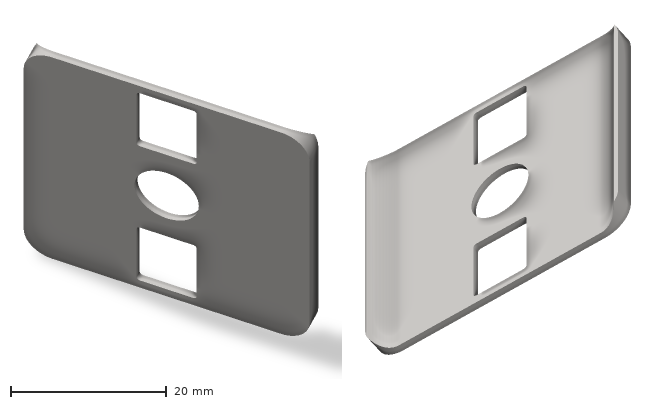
import cadquery as cq
import math

side = 40.0
half_side = side / 2
corner_radius = 4.0
web_thickness = 1.0

lip_height = 2.95
cove_radius = 4.0
cove_start = half_side - 4.0
outer_edge_height = 2.85

bore_diameter = 9.0
window_width = 8.4
window_height = 10.5
window_corner_radius = 0.5
window_margin = 1.4
window_offset = half_side - window_margin - window_height / 2


def cove_point(height):
    """Point of the right-hand cove arc at the given Y height."""
    drop = web_thickness + cove_radius - height
    return (cove_start + math.sqrt(cove_radius**2 - drop**2), height)


def mirrored(point):
    """The same profile point on the left-hand side."""
    return (-point[0], point[1])


def lipped_plate():
    """Constant XY section along Z, with sloped lip crests."""
    tip = cove_point(lip_height)
    middle = cove_point((web_thickness + lip_height) / 2)
    root = (cove_start, web_thickness)
    return (
        cq.Workplane("XY")
        .workplane(offset=-half_side)
        .moveTo(-half_side, 0)
        .lineTo(half_side, 0)
        .lineTo(half_side, outer_edge_height)
        .lineTo(*tip)
        .threePointArc(middle, root)
        .lineTo(*mirrored(root))
        .threePointArc(mirrored(middle), mirrored(tip))
        .lineTo(-half_side, outer_edge_height)
        .close()
        .extrude(side)
    )


def rounded_prism(width, height, radius, center_z=0.0):
    """Rounded rectangle in XZ, running in +Y through the full lip height."""
    return (
        cq.Workplane("XY")
        .box(width, lip_height, height)
        .edges("|Y")
        .fillet(radius)
        .translate((0, lip_height / 2, center_z))
    )


def bore():
    return cq.Workplane("XZ").circle(bore_diameter / 2).extrude(-lip_height)


result = lipped_plate().intersect(rounded_prism(side, side, corner_radius))
result = result.cut(bore())
for window_z in (-window_offset, window_offset):
    result = result.cut(rounded_prism(window_width, window_height, window_corner_radius, window_z))